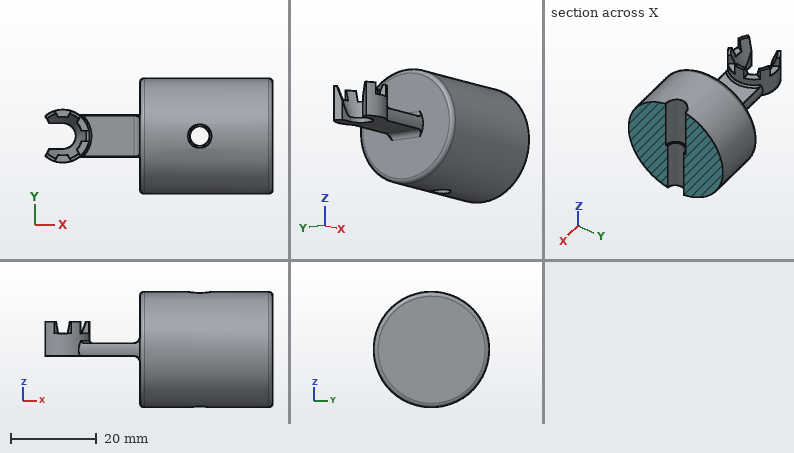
import cadquery as cq
import math

total_length = 53.1
body_diameter = 27.0
body_length = 31.0
body_edge_radius = 1.0

cross_hole_diameter = 4.5
counterbore_diameter = 5.5
cross_hole_from_face = 13.95

rod_diameter = 10.0
arm_thickness = 3.0
arm_root_radius = 1.5

ring_radius = 6.2
ring_height = 8.0
bore_radius = 2.95
bore_straight_height = 1.1
cone_half_angle = 20.0
tine_width = 2.5
tine_height = 2.7
tine_spacing = 60.0
tine_count = 5
ring_arm_chamfer = 0.5

arm_top = arm_thickness / 2
ring_bottom = -arm_top
ring_top = ring_bottom + ring_height
cone_bottom = ring_bottom + bore_straight_height
cone_top_radius = bore_radius + (ring_top - cone_bottom) * math.tan(math.radians(cone_half_angle))
last_tine_angle = tine_spacing * (tine_count - 1) / 2
tip_angle = last_tine_angle + math.degrees(math.asin(tine_width / 2 / ring_radius))
ring_tip_x = ring_radius * math.cos(math.radians(tip_angle))
body_end_x = ring_tip_x + total_length
body_face_x = body_end_x - body_length


def make_body():
    """Solid cylinder along X with rounded rims and the cross hole."""
    body = (
        cq.Workplane("YZ", origin=(body_face_x, 0, 0))
        .circle(body_diameter / 2)
        .extrude(body_length)
        .edges()
        .fillet(body_edge_radius)
    )
    hole_x = body_face_x + cross_hole_from_face
    through_hole = cq.Workplane("XY", origin=(hole_x, 0, 0)).circle(cross_hole_diameter / 2)
    upper_bore = cq.Workplane("XY", origin=(hole_x, 0, 0)).circle(counterbore_diameter / 2)
    body = body.cut(through_hole.extrude(body_diameter / 2, both=True))
    return body.cut(upper_bore.extrude(body_diameter / 2))


def make_arm():
    """Flat bar with concave flares at the body and a chamfer collar at the ring, bounded by the rod."""
    root_x = body_face_x - arm_root_radius
    root_top = arm_top + arm_root_radius
    quarter = arm_root_radius * math.sqrt(0.5)
    bar = (
        cq.Workplane("XZ")
        .moveTo(0, -arm_top)
        .lineTo(root_x, -arm_top)
        .threePointArc((root_x + quarter, -root_top + quarter), (body_face_x, -root_top))
        .lineTo(body_face_x, root_top)
        .threePointArc((root_x + quarter, root_top - quarter), (root_x, arm_top))
        .lineTo(0, arm_top)
        .close()
        .extrude(rod_diameter / 2, both=True)
    )
    collar = (
        cq.Workplane("XZ")
        .polyline([
            (0, 0),
            (ring_radius + ring_arm_chamfer, 0),
            (ring_radius + ring_arm_chamfer, arm_top),
            (ring_radius, arm_top + ring_arm_chamfer),
            (0, arm_top + ring_arm_chamfer),
        ])
        .close()
        .revolve(360, (0, 0), (0, 1))
    )
    rod = cq.Workplane("YZ").circle(rod_diameter / 2).extrude(body_face_x)
    return bar.union(collar).intersect(rod)


def tine_strip(angle, bottom, width):
    """Radial bar from the ring axis outward, up to the ring top."""
    return (
        cq.Workplane("XY", origin=(0, 0, bottom))
        .rect(2 * ring_radius, width)
        .extrude(ring_top - bottom)
        .translate((ring_radius, 0, 0))
        .rotate((0, 0, 0), (0, 0, 1), angle)
    )


def make_ring_blank():
    """Full disc, notched down from the top so that only the tines stand above it."""
    base_height = ring_height - tine_height
    ring_base = cq.Workplane("XY", origin=(0, 0, ring_bottom))
    ring = ring_base.circle(ring_radius).extrude(base_height)
    column = ring_base.circle(ring_radius).extrude(ring_height)
    for index in range(tine_count):
        angle = index * tine_spacing - last_tine_angle
        strip = tine_strip(angle, ring_bottom + base_height, tine_width)
        ring = ring.union(column.intersect(strip))
    return ring


def make_ring_opening():
    """Bore, conical seat, straight slot toward -X and the flared mouth."""
    bore = cq.Workplane("XY", origin=(0, 0, ring_bottom)).circle(bore_radius).extrude(ring_height)
    cone = (
        cq.Workplane("XZ")
        .polyline([
            (0, cone_bottom),
            (bore_radius, cone_bottom),
            (cone_top_radius, ring_top),
            (0, ring_top),
        ])
        .close()
        .revolve(360, (0, 0), (0, 1))
    )
    slot = tine_strip(180, ring_bottom, 2 * bore_radius)
    mouth_apex_x = -tine_width / 2 / math.sin(math.radians(last_tine_angle))
    mouth_depth = 2 * ring_radius
    mouth_half_width = -mouth_depth * math.tan(math.radians(last_tine_angle))
    mouth = (
        cq.Workplane("XY", origin=(0, 0, ring_bottom))
        .polyline([
            (mouth_apex_x, 0),
            (mouth_apex_x - mouth_depth, mouth_half_width),
            (mouth_apex_x - mouth_depth, -mouth_half_width),
        ])
        .close()
        .extrude(ring_height)
    )
    return bore.union(cone).union(slot).union(mouth)


ring_opening = make_ring_opening()
open_ring = make_ring_blank().cut(ring_opening)
open_arm = make_arm().cut(ring_opening)
result = make_body().union(open_arm).union(open_ring)